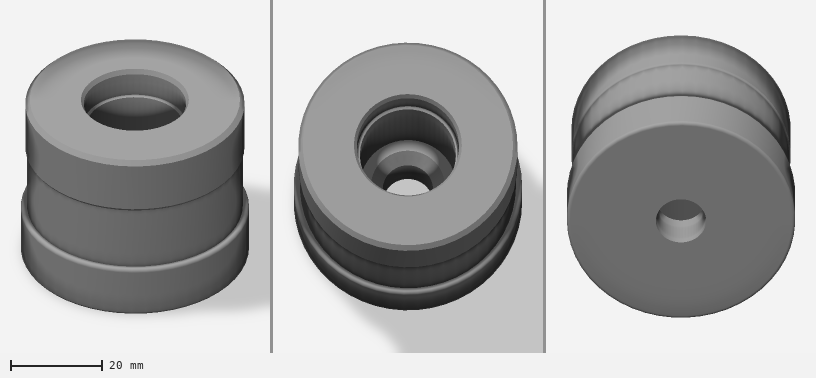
import cadquery as cq

height = 40.0
flange_radius = 25.0
flange_height = 12.0
flange_fillet = 0.75
neck_radius = 23.65
head_radius = 24.0
head_height = 13.0
head_top_chamfer = 1.0
head_bottom_chamfer_height = 0.55

bore_radius = 10.5
bore_floor = flange_height
mouth_radius = 11.2
mouth_depth = 6.5
mouth_chamfer_width = 0.6
mouth_chamfer_depth = 1.05
step_slope_width = 0.45
step_slope_depth = 0.2

hole_radius = 5.5
countersink_radius = 8.05


def cylinder(radius, bottom, top):
    """Solid cylinder on the Z axis between two heights."""
    return cq.Workplane("XY").workplane(offset=bottom).circle(radius).extrude(top - bottom)


def cone(bottom_radius, top_radius, bottom, top):
    """Truncated cone on the Z axis between two heights."""
    outline = [(0, bottom), (bottom_radius, bottom), (top_radius, top), (0, top)]
    return cq.Workplane("XZ").polyline(outline).close().revolve(360, (0, 0, 0), (0, 1, 0))


def make_body():
    """Rounded flange, plain neck and chamfered head."""
    head_bottom = height - head_height
    head_bottom_chamfer_width = head_radius - neck_radius
    flange = cylinder(flange_radius, 0, flange_height).edges().fillet(flange_fillet)
    neck = cylinder(neck_radius, flange_height / 2, height - head_height / 2)
    head = cylinder(head_radius, head_bottom, height)
    head = head.faces(">Z").edges().chamfer(head_top_chamfer)
    head = head.faces("<Z").edges().chamfer(head_bottom_chamfer_height, head_bottom_chamfer_width)
    return flange.union(neck).union(head)


def make_bore():
    """Main bore, its wider mouth with lead-in chamfer, and the partly sloped step between them."""
    step = height - mouth_depth
    bore = cylinder(bore_radius, bore_floor, height)
    mouth = cylinder(mouth_radius, step, height)
    slope = cone(bore_radius, bore_radius + step_slope_width, step - step_slope_depth, step)
    lead_in = cone(mouth_radius, mouth_radius + mouth_chamfer_width, height - mouth_chamfer_depth, height)
    return bore.union(mouth).union(slope).union(lead_in)


def make_screw_hole():
    """Through hole with a 45 degree countersink at the bore floor."""
    hole = cylinder(hole_radius, 0, bore_floor)
    countersink_depth = countersink_radius - hole_radius
    countersink = cone(hole_radius, countersink_radius, bore_floor - countersink_depth, bore_floor)
    return hole.union(countersink)


result = make_body().cut(make_bore()).cut(make_screw_hole())